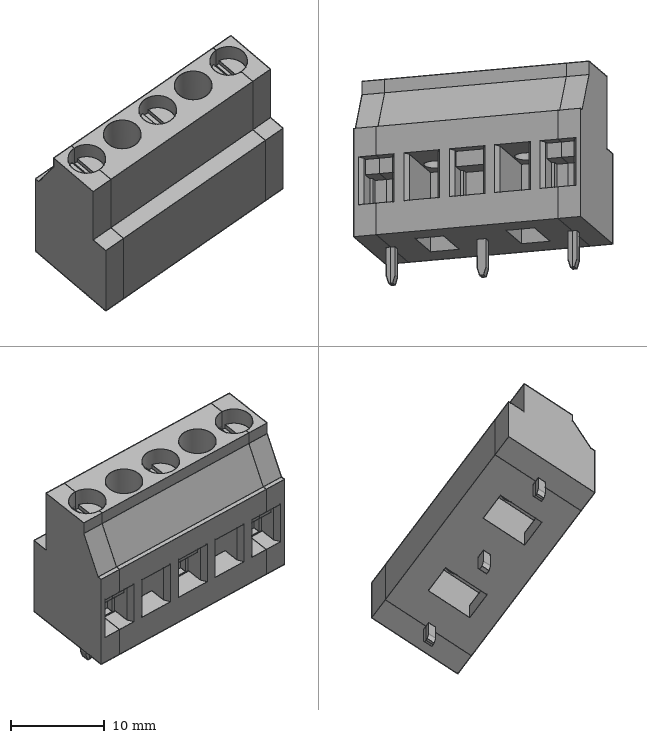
import cadquery as cq

ROW_LENGTH = 25.4
POLE_COUNT = 5
PITCH = ROW_LENGTH / POLE_COUNT
DEPTH = 11.2
HEIGHT = 18.0
ENTRY_HEIGHT = 12.0
SHELF = 0.5
SLOPE_TOP = 16.5
CREST_FRONT = 2.9
CREST_BACK = 9.2
LEDGE_HEIGHT = 10.0

SHAFT_X = 5.35
SHAFT_DIAMETER = 4.0
SCREW_DEPTH = 2.0
SLOT_WIDTH = 0.8
SLOT_DEPTH = 0.5
OPEN_SHAFT_DEPTH = 5.08
THROUGH_DIAMETER = 2.85

MOUTH_WIDTH = 4.0
POCKET_WIDTH = 3.2
TAPER_DEPTH = 0.69
POCKET_FLOOR = 3.5
POCKET_HEIGHT = 5.28
POCKET_DEPTH = 2.67
THROAT_WIDTH = 2.55
CLAMP_X = 1.17
CLAMP_DROP = 1.7
FRAME_GAP = 0.08
THROAT_BACK = 3.55

PIN_LENGTH = 4.0
PIN_FRONT = 5.0
PIN_THICKNESS = 0.91
PIN_WIDTH = 1.0
TIP_LENGTH = 0.85
TIP_WIDTH = 0.45

POLE_YS = [(i - (POLE_COUNT - 1) / 2) * PITCH for i in range(POLE_COUNT)]
WIRED_POLES = POLE_YS[0::2]
EMPTY_POLES = POLE_YS[1::2]
SPLIT_Y = POLE_YS[-1]


def box(x0, x1, y_centre, width, z0, z1):
    return cq.Workplane("XY").box(x1 - x0, width, z1 - z0, centered=(False, True, False)).translate(
        (x0, y_centre, z0)
    )


def cylinder(y_centre, diameter, z0, z1):
    return cq.Workplane("XY", origin=(SHAFT_X, y_centre, z0)).circle(diameter / 2).extrude(z1 - z0)


def housing_profile():
    points = [
        (0, 0),
        (DEPTH, 0),
        (DEPTH, LEDGE_HEIGHT),
        (CREST_BACK, LEDGE_HEIGHT),
        (CREST_BACK, HEIGHT),
        (CREST_FRONT, HEIGHT),
        (CREST_FRONT, SLOPE_TOP),
        (SHELF, ENTRY_HEIGHT),
        (0, ENTRY_HEIGHT),
    ]
    return cq.Workplane("XZ").polyline(points).close().extrude(ROW_LENGTH / 2, both=True)


def entry_pocket(y_centre):
    half_mouth = MOUTH_WIDTH / 2
    half_pocket = POCKET_WIDTH / 2
    half_outline = [(0, half_mouth), (TAPER_DEPTH, half_pocket), (POCKET_DEPTH, half_pocket)]
    mirrored = [(x, -y) for x, y in reversed(half_outline)]
    outline = cq.Workplane("XY", origin=(0, y_centre, POCKET_FLOOR)).polyline(half_outline + mirrored)
    return outline.close().extrude(POCKET_HEIGHT)


def empty_cavity(y_centre):
    """Clamp cavity behind the pocket, centred on the shaft and open at the bottom."""
    back = 2 * SHAFT_X - POCKET_DEPTH
    return box(POCKET_DEPTH, back, y_centre, POCKET_WIDTH, 0, POCKET_FLOOR + POCKET_HEIGHT)


def wired_pocket(y_centre):
    """Entry pocket with the clamp block left in its roof and the clamp frame's throat behind it."""
    roof = POCKET_FLOOR + POCKET_HEIGHT
    clamp_bottom = roof - CLAMP_DROP
    frame_front = POCKET_DEPTH + FRAME_GAP
    clamp = box(CLAMP_X, POCKET_DEPTH, y_centre, MOUTH_WIDTH, clamp_bottom, roof)
    gap_bottom = POCKET_FLOOR - FRAME_GAP
    gap = box(POCKET_DEPTH, frame_front, y_centre, POCKET_WIDTH, gap_bottom, clamp_bottom)
    throat = box(frame_front, THROAT_BACK, y_centre, THROAT_WIDTH, POCKET_FLOOR, clamp_bottom)
    return entry_pocket(y_centre).cut(clamp).union(gap).union(throat)


def screw_shaft(y_centre):
    """Shaft down to the screw head, with the driver slot across the head."""
    head = HEIGHT - SCREW_DEPTH
    shaft = cylinder(y_centre, SHAFT_DIAMETER, head - SLOT_DEPTH, HEIGHT)
    radius = SHAFT_DIAMETER / 2
    slot = box(SHAFT_X - radius, SHAFT_X + radius, y_centre, SLOT_WIDTH, head - SLOT_DEPTH, head)
    return cylinder(y_centre, SHAFT_DIAMETER, head, HEIGHT).union(shaft.intersect(slot))


def open_shaft(y_centre):
    bore = cylinder(y_centre, THROUGH_DIAMETER, 0, HEIGHT)
    return bore.union(cylinder(y_centre, SHAFT_DIAMETER, HEIGHT - OPEN_SHAFT_DEPTH, HEIGHT))


def solder_pin(y_centre):
    half_width = PIN_WIDTH / 2
    half_tip = TIP_WIDTH / 2
    half_outline = [(half_width, 0), (half_width, TIP_LENGTH - PIN_LENGTH), (half_tip, -PIN_LENGTH)]
    mirrored = [(-y, z) for y, z in reversed(half_outline)]
    outline = cq.Workplane("YZ", origin=(PIN_FRONT, y_centre, 0)).polyline(half_outline + mirrored)
    return outline.close().extrude(PIN_THICKNESS)


def terminal_block():
    block = housing_profile()
    for y in WIRED_POLES:
        block = block.cut(wired_pocket(y)).cut(screw_shaft(y)).union(solder_pin(y))
    for y in EMPTY_POLES:
        block = block.cut(entry_pocket(y)).cut(empty_cavity(y)).cut(open_shaft(y))
    return block


def segment(block, y0, y1):
    """The part of the block between two planes across the row."""
    return block.intersect(box(0, DEPTH, (y0 + y1) / 2, y1 - y0, -PIN_LENGTH, HEIGHT), clean=False)


whole_block = terminal_block()
near_end = segment(whole_block, -ROW_LENGTH / 2, -SPLIT_Y)
middle = segment(whole_block, -SPLIT_Y, SPLIT_Y)
far_end = segment(whole_block, SPLIT_Y, ROW_LENGTH / 2)

result = cq.Compound.makeCompound([near_end.val(), middle.val(), far_end.val()])